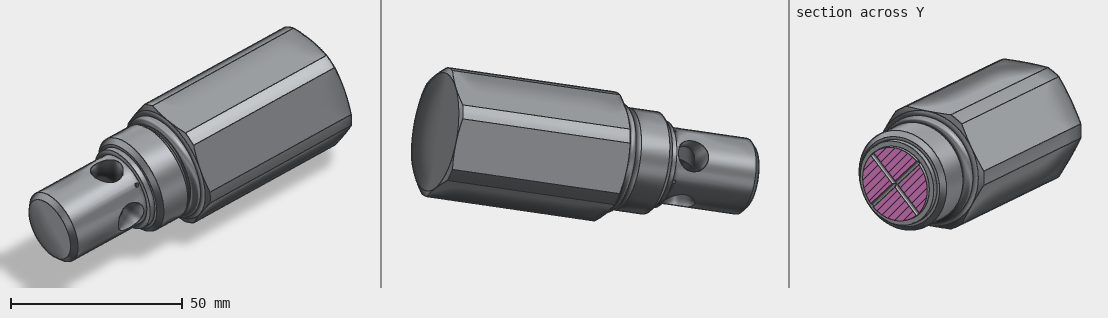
import cadquery as cq
import math

total_length = 98.4
nose_y = -total_length / 2
rear_y = total_length / 2

shoulder_front = 27.4
body_front = 29.1
body_rear = 41.0
hex_front = 44.2

shank_diameter = 22.3
shoulder_diameter = 25.4
body_diameter = 30.1
neck_diameter = 27.2
shank_chamfer = 1.6
body_chamfer = (body_diameter - neck_diameter) / 2

ring_outer_diameter = 32.5
ring_section_diameter = 3.0

hex_across_flats = 34.9
hex_corner_diameter = 38.1
hex_face_diameter = 34.8
hex_chamfer_length = 0.6

cross_hole_diameter = 9.5
cross_hole_station = 21.5
pin_hole_diameter = 1.2
pin_hole_station = 26.3


def make_disc(front, rear, diameter):
    """Cylinder on the Y axis between two stations from the nose."""
    plane = cq.Workplane("XZ", origin=(0, nose_y + front, 0))
    return plane.circle(diameter / 2).extrude(front - rear)


def make_hexagon():
    """Hexagonal head, flats facing +Z and -Z, trimmed by a chamfered cylinder."""
    hex_length = total_length - hex_front
    prism = (
        cq.Workplane("XZ", origin=(0, rear_y, 0))
        .polygon(6, hex_across_flats / math.cos(math.pi / 6))
        .extrude(hex_length)
    )
    face_radius = hex_face_diameter / 2
    corner_radius = hex_corner_diameter / 2
    front_y = nose_y + hex_front
    envelope = (
        cq.Workplane("XY")
        .moveTo(0, front_y)
        .lineTo(face_radius, front_y)
        .lineTo(corner_radius, front_y + hex_chamfer_length)
        .lineTo(corner_radius, rear_y - hex_chamfer_length)
        .lineTo(face_radius, rear_y)
        .lineTo(0, rear_y)
        .close()
        .revolve(360, (0, 0, 0), (0, 1, 0))
    )
    return prism.intersect(envelope)


def make_ring():
    """Round-section ring seated against the hexagon."""
    section_radius = ring_section_diameter / 2
    center_radius = ring_outer_diameter / 2 - section_radius
    center_y = nose_y + hex_front - section_radius
    plane = cq.Plane(origin=(center_radius, center_y, 0), xDir=(-1, 0, 0), normal=(0, 0, 1))
    section = cq.Workplane(plane).circle(section_radius)
    return section.revolve(360, (center_radius, 0, 0), (center_radius, 1, 0))


def make_radial_hole(station, diameter, angle):
    """Hole straight through the shank, its axis turned about Y from +Z."""
    return (
        cq.Workplane("XY", origin=(0, nose_y + station, 0))
        .circle(diameter / 2)
        .extrude(shank_diameter, both=True)
        .rotate((0, 0, 0), (0, 1, 0), angle)
    )


shank = make_disc(0, shoulder_front, shank_diameter).faces("<Y").chamfer(shank_chamfer)
shoulder = make_disc(shoulder_front, body_front, shoulder_diameter)
body = make_disc(body_front, body_rear, body_diameter).faces("<Y or >Y").chamfer(body_chamfer)
neck = make_disc(body_rear, hex_front, neck_diameter)

result = make_hexagon()
for section in (neck, body, shoulder, shank, make_ring()):
    result = result.union(section)

for hole_angle in (0, 90):
    result = result.cut(make_radial_hole(cross_hole_station, cross_hole_diameter, hole_angle))
    result = result.cut(make_radial_hole(pin_hole_station, pin_hole_diameter, hole_angle + 45))